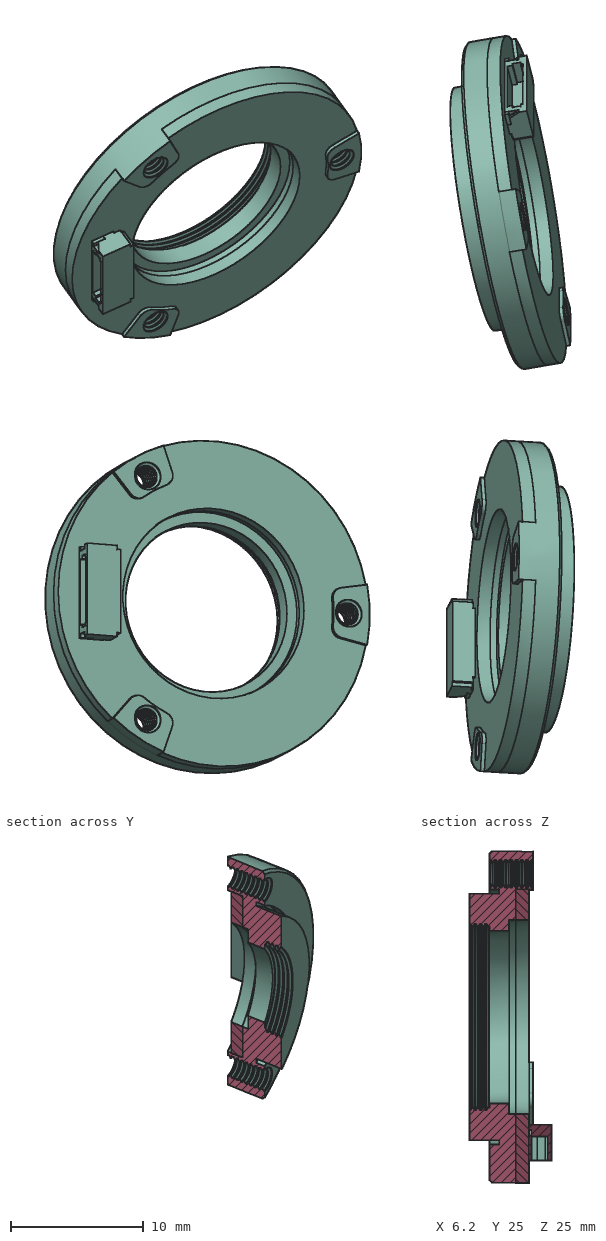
import cadquery as cq
import math


outer_radius = 12.5
boss_radius = 18.6 / 2
groove_radius = 19.2 / 2
bore_radius = 13.0 / 2
boss_length = 1.5
flange_length = 2.0
flange_chamfer = 0.2
groove_depth = 0.75
board_front = boss_length + flange_length
rear_bore_radius = 14.6 / 2
rear_bore_start = 3.0

thread_angle = 60.0
thread_pitch = 0.4
thread_depth = 0.22

lens_thread_radius = 14.0 / 2
lens_thread_length = 1.5

board_thickness = 1.0
board_back = board_front + board_thickness
lug_rise = 0.3
lug_back = board_back + lug_rise
lug_count = 3
lug_half_angle = 10.7
lug_inner_radius = groove_radius
lug_fillet = 0.8

screw_circle_radius = 10.8
screw_thread_radius = 2.1 / 2

connector_height = 1.7
connector_width = 7.0
connector_mouth_y = -10.8
connector_depth = 2.7
connector_back = board_back + connector_height
connector_rear_y = connector_mouth_y + connector_depth
rear_step_depth = 0.3
rear_step_inset = 0.3
standoff = 0.15
lead_length = 0.4
lead_row_width = 5.5
gap_width = 0.4

cavity_depth = 1.8
cavity_floor = board_back + 0.2
cavity_height = 1.2
cavity_width = 5.05
key_floor = board_back + 0.6
key_height = 0.62
key_span = 5.5

tab_thickness = 0.3
tab_height = 0.3
tab_length = 1.0
notch_slope_rise = 0.4
notch_length = 1.1


def disc(radius, start, end):
    """Cylinder about the X axis between two X positions."""
    return cq.Workplane("YZ").workplane(offset=start).circle(radius).extrude(end - start)


def box(x_range, y_range, z_range):
    """Box between the given pairs of X, Y and Z limits."""
    size = [high - low for low, high in (x_range, y_range, z_range)]
    corner = (x_range[0], y_range[0], z_range[0])
    return cq.Workplane("XY").box(*size, centered=False).translate(corner)


def thread_cutter(start, end, major_radius):
    """Threaded hole about the X axis, its ridges shaped as plain rings with 60 degree flanks."""
    minor_radius = major_radius - thread_depth
    flank = thread_depth * math.tan(math.radians(thread_angle / 2))
    crest = thread_pitch / 8
    root = thread_pitch - crest - 2 * flank
    turns = math.ceil((end - start) / thread_pitch)
    profile = cq.Workplane("XY").moveTo(start, 0).lineTo(start, major_radius)
    for turn in range(turns):
        ridge_start = start + turn * thread_pitch + root
        profile = profile.lineTo(ridge_start, major_radius)
        profile = profile.lineTo(ridge_start + flank, minor_radius)
        profile = profile.lineTo(ridge_start + flank + crest, minor_radius)
        profile = profile.lineTo(ridge_start + 2 * flank + crest, major_radius)
    profile = profile.lineTo(start + turns * thread_pitch, 0).close()
    threaded_hole = profile.revolve(360, (0, 0, 0), (1, 0, 0))
    return threaded_hole.intersect(disc(major_radius, start, end))


def lug_angles():
    """Directions of the lugs in the YZ plane, in degrees from +Y."""
    return [index * 360 / lug_count for index in range(lug_count)]


def make_lug():
    """Lug on the +Y side: a sector of the rim with rounded inner corners."""
    angle = math.radians(lug_half_angle)

    def rim_point(radius, direction):
        return (radius * math.cos(direction), radius * math.sin(direction))

    sector = (
        cq.Workplane("YZ")
        .workplane(offset=board_front)
        .moveTo(*rim_point(lug_inner_radius, -angle))
        .lineTo(*rim_point(outer_radius, -angle))
        .threePointArc((outer_radius, 0), rim_point(outer_radius, angle))
        .lineTo(*rim_point(lug_inner_radius, angle))
        .threePointArc((lug_inner_radius, 0), rim_point(lug_inner_radius, -angle))
        .close()
        .extrude(lug_back - board_front)
    )
    inner_rim = cq.selectors.BoxSelector(
        (board_front, 0, -outer_radius), (lug_back, lug_inner_radius, outer_radius)
    )
    return sector.edges("|X").edges(inner_rim).fillet(lug_fillet)


def make_lugs():
    lugs = cq.Workplane("YZ")
    for angle in lug_angles():
        lugs = lugs.add(make_lug().rotate((0, 0, 0), (1, 0, 0), angle).val())
    return lugs.combine()


def make_housing(lugs):
    flange = disc(outer_radius, boss_length, board_front).faces("<X").chamfer(flange_chamfer)
    housing = flange.union(disc(boss_radius, 0, board_front)).union(lugs)
    groove_end = boss_length + groove_depth
    groove = disc(groove_radius, boss_length, groove_end).cut(disc(boss_radius, boss_length, groove_end))
    housing = housing.cut(groove).cut(disc(bore_radius, 0, board_front))
    housing = housing.cut(disc(rear_bore_radius, rear_bore_start, board_front))
    housing = housing.cut(thread_cutter(0, lens_thread_length, lens_thread_radius))
    screw_hole = thread_cutter(boss_length, lug_back, screw_thread_radius)
    screw_hole = screw_hole.translate((0, screw_circle_radius, 0))
    for angle in lug_angles():
        housing = housing.cut(screw_hole.rotate((0, 0, 0), (1, 0, 0), angle))
    return housing


def make_board(lugs):
    board = disc(outer_radius, board_front, board_back)
    return board.cut(disc(rear_bore_radius, board_front, board_back)).cut(lugs)


def make_end_notch():
    """Notch at the +Z end of the connector: a seat for the tab and a ramp down to the mouth."""
    return (
        cq.Workplane("XY")
        .workplane(offset=connector_width / 2 - tab_thickness)
        .moveTo(board_back, connector_mouth_y)
        .lineTo(board_back + notch_length, connector_mouth_y)
        .lineTo(board_back + tab_height, connector_mouth_y + notch_slope_rise)
        .lineTo(board_back + tab_height, connector_mouth_y + tab_length)
        .lineTo(board_back, connector_mouth_y + tab_length)
        .close()
        .extrude(tab_thickness)
    )


def make_connector():
    half_width = connector_width / 2
    step_y = connector_rear_y - rear_step_depth
    step_half_width = half_width - rear_step_inset
    front_block = box((board_back, connector_back), (connector_mouth_y, step_y), (-half_width, half_width))
    rear_block = box(
        (board_back, connector_back), (step_y, connector_rear_y), (-step_half_width, step_half_width)
    )
    connector = front_block.union(rear_block)

    lead_y = connector_rear_y - lead_length
    underside = (board_back, board_back + standoff)
    connector = connector.cut(
        box(underside, (lead_y - gap_width, connector_rear_y), (-half_width, half_width))
    )
    connector = connector.union(
        box(underside, (lead_y, connector_rear_y), (-lead_row_width / 2, lead_row_width / 2))
    )

    cavity_y = (connector_mouth_y, connector_mouth_y + cavity_depth)
    connector = connector.cut(
        box((cavity_floor, cavity_floor + cavity_height), cavity_y, (-cavity_width / 2, cavity_width / 2))
    )
    connector = connector.cut(
        box((key_floor, key_floor + key_height), cavity_y, (-key_span / 2, key_span / 2))
    )

    notch = make_end_notch()
    return connector.cut(notch).cut(notch.mirror("XY"))


def make_solder_tab(side):
    """Solder tab at the +Z end (side = 1) or the -Z end (side = -1) of the connector."""
    tab = box(
        (board_back, board_back + tab_height),
        (connector_mouth_y, connector_mouth_y + tab_length),
        (connector_width / 2 - tab_thickness, connector_width / 2),
    )
    return tab if side > 0 else tab.mirror("XY")


lugs = make_lugs()
housing = make_housing(lugs)
board = make_board(lugs)
connector = make_connector()
solder_tabs = [make_solder_tab(side) for side in (1, -1)]

result = cq.Compound.makeCompound(
    [housing.val(), board.val(), connector.val(), *[tab.val() for tab in solder_tabs]]
)